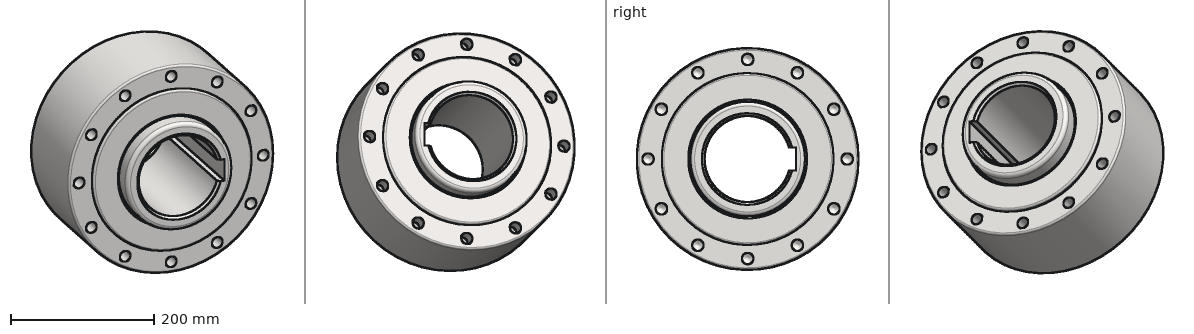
import cadquery as cq
import math

hub_length = 202.0
cover_length = 152.0
ring_length = 140.0

ring_diameter = 310.0
cover_diameter = 240.0
hub_diameter = 160.0
bore_diameter = 120.0

ring_fillet = 3.0
cover_fillet = 3.0
hub_fillet = 6.0
bore_chamfer = 4.0
hub_recess_chamfer = 3.0

keyway_width = 32.0
keyway_height = 127.4

hole_count = 12
hole_diameter = 16.0
hole_circle_diameter = 278.0
hole_depth = 30.0
drill_point_angle = 118.0


def cylinder(diameter, length):
    """Solid cylinder along X, centred on the origin."""
    return cq.Workplane("YZ").workplane(offset=-length / 2).circle(diameter / 2).extrude(length)


def rounded_disk(diameter, length, fillet):
    """Disk centred on the origin along X, with both rims rounded."""
    return cylinder(diameter, length).edges("%CIRCLE").fillet(fillet)


def cone_frustum(x_start, radius_start, x_end, radius_end):
    """Solid of revolution about X between two radii."""
    profile = cq.Workplane("XY").polyline(
        [(x_start, 0), (x_start, radius_start), (x_end, radius_end), (x_end, 0)]
    ).close()
    return profile.revolve(360, (0, 0, 0), (1, 0, 0))


def on_both_ends(feature):
    """The -X end feature together with its mirror image on the +X end."""
    return feature.union(feature.mirror("YZ"))


def hub_recess():
    """Conical recess in the cover face, narrowing down to the hub surface."""
    face_x = -cover_length / 2
    hub_radius = hub_diameter / 2
    return cone_frustum(
        face_x, hub_radius + hub_recess_chamfer, face_x + hub_recess_chamfer, hub_radius
    )


def bore_chamfer_cone():
    """Lead-in chamfer at the mouth of the bore."""
    face_x = -hub_length / 2
    bore_radius = bore_diameter / 2
    return cone_frustum(face_x, bore_radius + bore_chamfer, face_x + bore_chamfer, bore_radius)


def keyway():
    """Full-length rectangular slot from the axis to the keyway floor."""
    floor_y = keyway_height - bore_diameter / 2
    return cq.Workplane("XY").box(
        hub_length, floor_y, keyway_width, centered=(True, False, True)
    )


def drilled_holes():
    """Bolt circle of blind holes with conical bottoms in the -X ring face."""
    radius = hole_diameter / 2
    face_x = -ring_length / 2
    shoulder_x = face_x + hole_depth
    tip_x = shoulder_x + radius / math.tan(math.radians(drill_point_angle / 2))
    profile = cq.Workplane("XY").polyline(
        [(face_x, 0), (face_x, radius), (shoulder_x, radius), (tip_x, 0)]
    ).close()
    drill = profile.revolve(360, (0, 0, 0), (1, 0, 0))
    first_hole = drill.translate((0, 0, hole_circle_diameter / 2))
    holes = cq.Workplane("XY")
    for index in range(hole_count):
        angle = index * 360 / hole_count
        holes = holes.add(first_hole.rotate((0, 0, 0), (1, 0, 0), angle))
    return holes.combine()


body = rounded_disk(ring_diameter, ring_length, ring_fillet)
body = body.union(rounded_disk(cover_diameter, cover_length, cover_fillet))

body = body.cut(on_both_ends(hub_recess()))
body = body.union(rounded_disk(hub_diameter, hub_length, hub_fillet))

body = body.cut(cylinder(bore_diameter, hub_length))
body = body.cut(on_both_ends(bore_chamfer_cone()))
body = body.cut(keyway())

result = body.cut(on_both_ends(drilled_holes()))